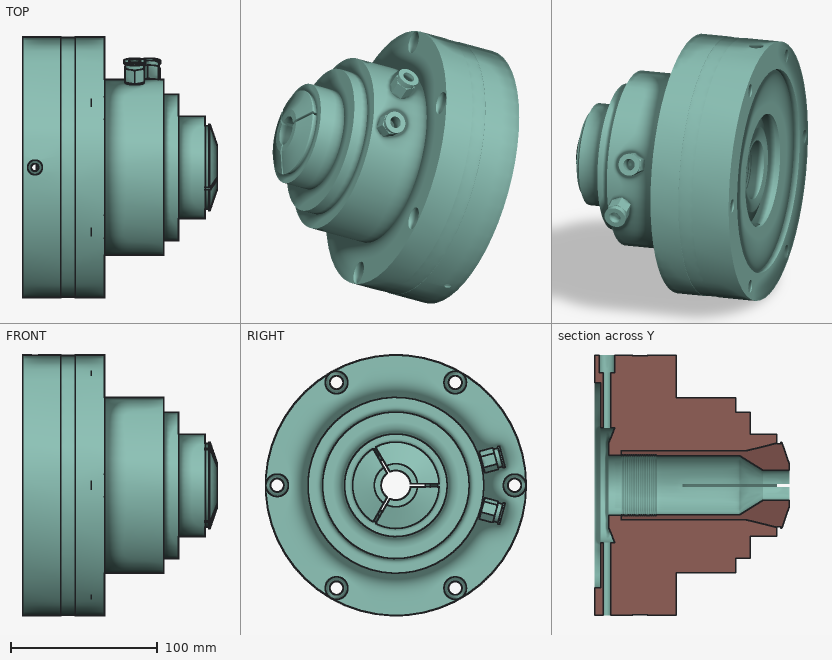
import cadquery as cq
import math

flange_radius = 89.0
rim_length = 26.0
band_end = 36.0
band_radius = flange_radius - 0.25
flange_end = 56.0
shoulder_end = 96.5
shoulder_radius = 60.0
collar_end = 106.5
collar_radius = 50.0
nose_end = 124.5
nose_radius = 35.0

register_radius = 70.0
register_depth = 4.0
cavity_radius = 39.0
cavity_floor = 13.5
boss_face = 9.5
boss_face_radius = 29.0
bore_radius = 40.5 / 2

screw_count = 6
screw_circle_radius = 81.0
screw_hole_diameter = 9.0
screw_head_diameter = 15.4
screw_head_seat = 47.0
vent_x = 8.5
vent_diameter = 5.0
vent_port_diameter = 10.0
vent_port_depth = 12.0

sleeve_start = 18.5
sleeve_radius = 47.0 / 2
sleeve_bore_radius = 20.0
taper_start = 104.0
head_radius = 28.6
lip_radius = 29.5
lip_start = 126.9
lip_end = 127.9
collet_end = 133.0
collet_end_radius = 14.7
jaw_bore_radius = 10.0
jaw_bore_start = 115.0
jaw_cone_start = 99.0
groove_count = 16
groove_pitch = 1.5
groove_depth = 0.75
slot_count = 3
slot_width = 2.0
slot_start = 60.0

fitting_x = (76.5, 86.7)
fitting_tilt = (15.0, -15.0)
fitting_twist = (0.0, -10.0)
hex_across_flats = 13.2
base_radius = 6.5
base_height = 0.9
hex_height = 9.6
hex_chamfer = 0.5
neck_radius = 6.5
neck_height = 3.3
release_radius = 7.5
release_height = 1.4
tube_radius = 4.0
tube_depth = 10.0

ACROSS_CORNERS = 2 / math.sqrt(3)


def revolve_about_x(points):
    return cq.Workplane("XY").polyline(points).close().revolve(360, (0, 0, 0), (1, 0, 0))


def x_cylinder(radius, start, end, y=0.0, z=0.0):
    return cq.Workplane("YZ", origin=(start, y, z)).circle(radius).extrude(end - start)


def z_cylinder(radius, start, height):
    return cq.Workplane("XY", origin=(0, 0, start)).circle(radius).extrude(height)


def make_housing():
    body = revolve_about_x([
        (register_depth, cavity_radius),
        (register_depth, register_radius),
        (0, register_radius),
        (0, flange_radius),
        (rim_length, flange_radius),
        (rim_length, band_radius),
        (band_end, band_radius),
        (band_end, flange_radius),
        (flange_end, flange_radius),
        (flange_end, shoulder_radius),
        (shoulder_end, shoulder_radius),
        (shoulder_end, collar_radius),
        (collar_end, collar_radius),
        (collar_end, nose_radius),
        (nose_end, nose_radius),
        (nose_end, head_radius),
        (taper_start, sleeve_radius),
        (sleeve_start, sleeve_radius),
        (sleeve_start, bore_radius),
        (boss_face, bore_radius),
        (boss_face, boss_face_radius),
        (cavity_floor, cavity_radius),
    ])
    for index in range(screw_count):
        angle = math.radians(index * 360 / screw_count)
        y = screw_circle_radius * math.cos(angle)
        z = screw_circle_radius * math.sin(angle)
        body = body.cut(x_cylinder(screw_hole_diameter / 2, 0, flange_end, y, z))
        body = body.cut(x_cylinder(screw_head_diameter / 2, screw_head_seat, flange_end, y, z))
    return cut_vent(body)


def cut_vent(body):
    """Radial vent across the cavity, with a wider port at the top."""
    vent = z_cylinder(vent_diameter / 2, -flange_radius, 2 * flange_radius).translate((vent_x, 0, 0))
    vent = vent.cut(x_cylinder(cavity_radius, register_depth, cavity_floor))
    port = z_cylinder(vent_port_diameter / 2, flange_radius - vent_port_depth, vent_port_depth)
    port = port.translate((vent_x, 0, 0))
    return body.cut(vent).cut(port)


def sleeve_grooves():
    """V-grooves of the sleeve bore, from the innermost one back to the sleeve's open end."""
    points = [(sleeve_start + groove_count * groove_pitch, sleeve_bore_radius)]
    for index in reversed(range(groove_count)):
        crest = sleeve_start + index * groove_pitch
        points.append((crest + groove_pitch / 2, sleeve_bore_radius + groove_depth))
        points.append((crest, sleeve_bore_radius))
    return points


def make_collet():
    body = revolve_about_x([
        (sleeve_start, sleeve_radius),
        (taper_start, sleeve_radius),
        (nose_end, head_radius),
        (lip_start, head_radius),
        (lip_start, lip_radius),
        (lip_end, lip_radius),
        (collet_end, collet_end_radius),
        (collet_end, jaw_bore_radius),
        (jaw_bore_start, jaw_bore_radius),
        (jaw_cone_start, sleeve_bore_radius),
        *sleeve_grooves(),
    ])
    slot_length = collet_end - slot_start
    for index in range(slot_count):
        slot = (
            cq.Workplane("XY")
            .box(slot_length, lip_radius, slot_width, centered=(False, False, True))
            .translate((slot_start, 0, 0))
            .rotate((0, 0, 0), (1, 0, 0), index * 360 / slot_count)
        )
        body = body.cut(slot)
    return body


def make_fitting(x, tilt, twist):
    """Fitting built upright on Z, then stood on the shoulder, leaning from +Y by the tilt."""
    neck_start = base_height + hex_height
    release_start = neck_start + neck_height
    top = release_start + release_height
    corner_radius = hex_across_flats * ACROSS_CORNERS / 2

    hexagon = cq.Workplane("XY", origin=(0, 0, base_height)).polygon(6, 2 * corner_radius).extrude(hex_height)
    blank = z_cylinder(corner_radius, base_height, hex_height).faces(">Z").chamfer(hex_chamfer)
    hexagon = hexagon.intersect(blank).rotate((0, 0, 0), (0, 0, 1), 90 + twist)

    upright = (
        hexagon.union(z_cylinder(base_radius, 0, base_height))
        .union(z_cylinder(neck_radius, neck_start, neck_height))
        .union(z_cylinder(release_radius, release_start, release_height))
        .cut(z_cylinder(tube_radius, top - tube_depth, tube_depth))
    )
    return (
        upright.translate((x, 0, shoulder_radius))
        .rotate((0, 0, 0), (1, 0, 0), tilt - 90)
    )


housing = make_housing()
collet = make_collet()
fittings = [make_fitting(*place) for place in zip(fitting_x, fitting_tilt, fitting_twist)]

result = cq.Compound.makeCompound([
    housing.val(),
    collet.val(),
    *[fitting.val() for fitting in fittings],
])